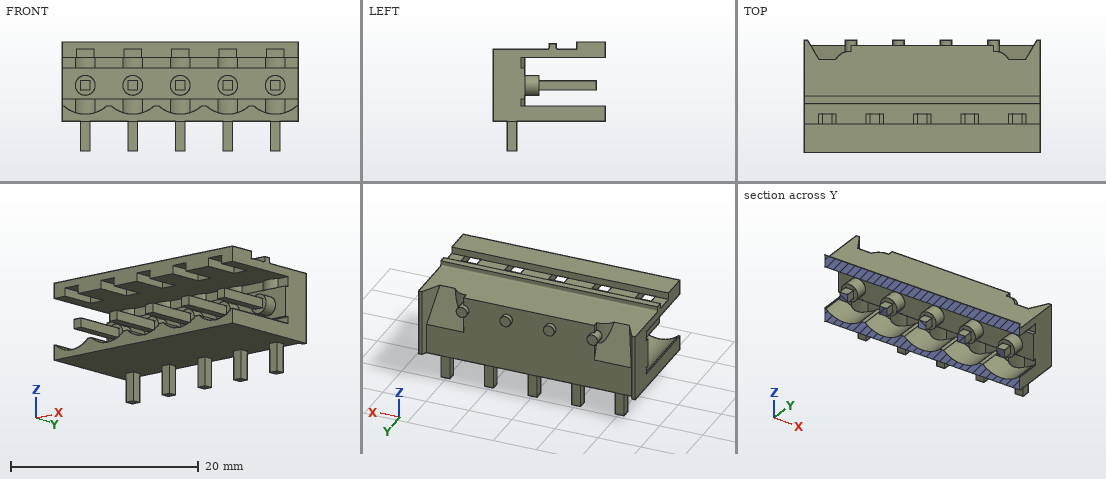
import cadquery as cq
import math


PIN_COUNT = 5
PITCH = 5.07
PIN_WIDTH = 1.03
PIN_AXIS_Z = 3.83
PIN_TIP_Y = 0.95
LEG_AXIS_Y = 9.98
LEG_LENGTH = 3.18

LENGTH = 25.2
DEPTH = 12.0
SHELF_TOP = 7.69
LIP_TOP = 8.47
LIP_DEPTH = 3.07

CAVITY_CEILING = 6.78
CAVITY_FLOOR = 1.65
WALL_Y = 8.6
BAND_BOTTOM = 2.37
BAND_TOP = 5.7
BAND_RELIEF = 0.4
BOSS_DIAMETER = 2.12
BOSS_LENGTH = 1.5

SCALLOP_BOTTOM = 0.75
SCALLOP_WIDTH = 4.59

SLOT_WIDTH = 1.85
SLOT_LENGTH = 4.13

RIB_FRONT = 5.25
RIB_BACK = 6.02
RIB_TOP = 8.3
RIB_FILLET = 0.18

BACK_Y = 11.45
EAR_TIP_WIDTH = 0.38
EAR_ROOT_WIDTH = 1.6
NOTCH_Y = 9.93
NOTCH_FLAT_LENGTH = 1.76
NOTCH_SHOULDER_Y = 10.79
NOTCH_ARC_LENGTH = 1.18
NOTCH_ARC_SAG = 0.15
NOTCH_WALL_ANGLE = 70.3
STANDOFF_DIAMETER = 1.23
STANDOFF_Z = 6.17

HALF_LENGTH = LENGTH / 2
RELIEF_Y = WALL_Y + BAND_RELIEF
CONTACT_XS = [(i - (PIN_COUNT - 1) / 2) * PITCH for i in range(PIN_COUNT)]
STANDOFF_XS = [x + PITCH / 2 for x in CONTACT_XS[:-1]]


def block(x_range, y_range, z_range):
    """Box between the given limits along each axis."""
    (x0, x1), (y0, y1), (z0, z1) = x_range, y_range, z_range
    return cq.Workplane("XY").box(x1 - x0, y1 - y0, z1 - z0, centered=False).translate((x0, y0, z0))


def rod(x, z, diameter, y_front, y_back):
    """Round bar along Y."""
    return cq.Workplane("XZ", origin=(x, y_front, z)).circle(diameter / 2).extrude(y_front - y_back)


def side_extrusion(outline):
    """Closed (Y, Z) outline swept over the whole length."""
    return cq.Workplane("YZ").polyline(outline).close().extrude(HALF_LENGTH, both=True)


def make_profile():
    """C-shaped section with lip, cavity and banded inner wall, swept along the row."""
    return side_extrusion([
        (0, 0),
        (DEPTH, 0),
        (DEPTH, SHELF_TOP),
        (LIP_DEPTH, SHELF_TOP),
        (LIP_DEPTH, LIP_TOP),
        (0, LIP_TOP),
        (0, CAVITY_CEILING),
        (RELIEF_Y, CAVITY_CEILING),
        (RELIEF_Y, BAND_TOP),
        (WALL_Y, BAND_TOP),
        (WALL_Y, BAND_BOTTOM),
        (RELIEF_Y, BAND_BOTTOM),
        (RELIEF_Y, CAVITY_FLOOR),
        (0, CAVITY_FLOOR),
    ])


def make_rib():
    """Rib on the shelf with a concave fillet along both sides of its foot."""
    fillet_mid = RIB_FILLET * (1 - math.cos(math.radians(45)))
    fillet_top = SHELF_TOP + RIB_FILLET
    return (
        cq.Workplane("YZ")
        .moveTo(RIB_FRONT - RIB_FILLET, SHELF_TOP)
        .threePointArc((RIB_FRONT - fillet_mid, SHELF_TOP + fillet_mid), (RIB_FRONT, fillet_top))
        .lineTo(RIB_FRONT, RIB_TOP)
        .lineTo(RIB_BACK, RIB_TOP)
        .lineTo(RIB_BACK, fillet_top)
        .threePointArc((RIB_BACK + fillet_mid, SHELF_TOP + fillet_mid), (RIB_BACK + RIB_FILLET, SHELF_TOP))
        .close()
        .extrude(HALF_LENGTH, both=True)
    )


def make_scallop(x):
    """Shallow round trough cut into the cavity floor under one contact."""
    half_width = SCALLOP_WIDTH / 2
    return (
        cq.Workplane("XZ")
        .moveTo(x - half_width, CAVITY_FLOOR)
        .threePointArc((x, SCALLOP_BOTTOM), (x + half_width, CAVITY_FLOOR))
        .close()
        .extrude(-RELIEF_Y)
    )


def make_column(x):
    """Bulging column that bridges both wall recesses behind one contact."""
    half_width = BOSS_DIAMETER / 2
    return (
        cq.Workplane("XY")
        .moveTo(x - half_width, RELIEF_Y)
        .threePointArc((x, WALL_Y), (x + half_width, RELIEF_Y))
        .close()
        .extrude(CAVITY_CEILING)
    )


def make_slot(x):
    """Keying slot under the lip that breaks through the shelf just behind it."""
    return block(
        (x - SLOT_WIDTH / 2, x + SLOT_WIDTH / 2), (0, SLOT_LENGTH), (CAVITY_CEILING, SHELF_TOP)
    )


def make_back_recess():
    """Space between the end ears, from their tips in to the back face."""
    ear_slope = (EAR_ROOT_WIDTH - EAR_TIP_WIDTH) / (DEPTH - NOTCH_Y)
    outer_x = HALF_LENGTH - EAR_TIP_WIDTH
    inner_x = outer_x - ear_slope * (DEPTH - BACK_Y)
    return (
        cq.Workplane("XY")
        .polyline([(-outer_x, DEPTH), (outer_x, DEPTH), (inner_x, BACK_Y), (-inner_x, BACK_Y)])
        .close()
        .extrude(SHELF_TOP)
    )


def make_notch():
    """Left corner notch: a plan outline cut down to a steep sloping wall."""
    ear_root_x = -HALF_LENGTH + EAR_ROOT_WIDTH
    arc_start_x = ear_root_x + NOTCH_FLAT_LENGTH
    arc_end_x = arc_start_x + NOTCH_ARC_LENGTH
    chord = math.hypot(NOTCH_ARC_LENGTH, NOTCH_SHOULDER_Y - NOTCH_Y)
    arc_mid = (
        (arc_start_x + arc_end_x) / 2 - NOTCH_ARC_SAG * (NOTCH_SHOULDER_Y - NOTCH_Y) / chord,
        (NOTCH_Y + NOTCH_SHOULDER_Y) / 2 + NOTCH_ARC_SAG * NOTCH_ARC_LENGTH / chord,
    )
    shoulder_x = STANDOFF_XS[0]
    outline = (
        cq.Workplane("XY")
        .moveTo(-HALF_LENGTH + EAR_TIP_WIDTH, DEPTH)
        .lineTo(ear_root_x, NOTCH_Y)
        .lineTo(arc_start_x, NOTCH_Y)
        .threePointArc(arc_mid, (arc_end_x, NOTCH_SHOULDER_Y))
        .lineTo(shoulder_x, NOTCH_SHOULDER_Y)
        .lineTo(shoulder_x, DEPTH)
        .close()
        .extrude(SHELF_TOP)
    )
    wall_drop = (DEPTH - NOTCH_Y) * math.tan(math.radians(NOTCH_WALL_ANGLE))
    wall_foot_z = SHELF_TOP - wall_drop
    above_wall = side_extrusion([(NOTCH_Y, SHELF_TOP), (DEPTH, SHELF_TOP), (DEPTH, wall_foot_z)])
    return outline.intersect(above_wall)


def make_pin(x):
    """Right-angle pin: a horizontal contact arm and a solder leg going down."""
    half = PIN_WIDTH / 2
    arm_top = PIN_AXIS_Z + half
    arm = block((x - half, x + half), (PIN_TIP_Y, LEG_AXIS_Y + half), (PIN_AXIS_Z - half, arm_top))
    leg = block(
        (x - half, x + half), (LEG_AXIS_Y - half, LEG_AXIS_Y + half), (-LEG_LENGTH, arm_top)
    )
    return arm.union(leg)


def make_housing(pins):
    """Housing with all its details and a matching passage for every pin."""
    housing = make_profile().union(make_rib())
    for x in CONTACT_XS:
        housing = housing.cut(make_scallop(x)).cut(make_slot(x)).union(make_column(x))
        housing = housing.union(rod(x, PIN_AXIS_Z, BOSS_DIAMETER, WALL_Y - BOSS_LENGTH, RELIEF_Y))

    notch = make_notch()
    housing = housing.cut(make_back_recess()).cut(notch).cut(notch.mirror("YZ"))
    for x in STANDOFF_XS:
        housing = housing.union(rod(x, STANDOFF_Z, STANDOFF_DIAMETER, NOTCH_Y, DEPTH))

    for pin in pins:
        housing = housing.cut(pin)
    return housing


pins = [make_pin(x) for x in CONTACT_XS]
housing = make_housing(pins)

result = cq.Compound.makeCompound([housing.val(), *[pin.val() for pin in pins]])